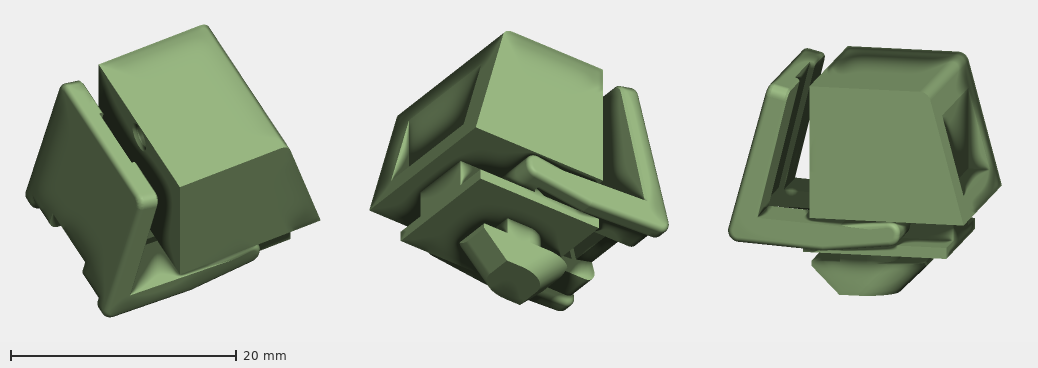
import cadquery as cq
import math


WIDTH = 16.0

BLOCK_HEIGHT = 12.0
BLOCK_FRONT_Y = -4.0
BLOCK_BACK_Y = 10.0
BACK_LEAN = 15.0
BLOCK_EDGE_RADIUS = 1.0

POCKET_WIDTH = 10.9
POCKET_FLOOR_Z = 2.0
POCKET_WALL_Y = 7.5

HOLE_DIAMETER = 2.1
HOLE_CHAMFER = 0.3
HOLE_Z = BLOCK_HEIGHT - 1.55
HOLE_DEPTH = 6.0

PLATE_FRONT_Y = -5.0
PLATE_BACK_Y = 8.0
PLATE_HEIGHT = 3.6
NECK_WIDTH = 6.0
FLANGE_WIDTH = 12.0
FLANGE_THICKNESS = 1.0
TOOTH_RISE = 0.6
TOOTH_RUN = 1.0
TOOTH_END_Y = 2.0

STEM_SIZE = 4.9
STEM_HEIGHT = 1.6
TURN_RADIUS = 2.44
HEAD_LENGTH = 10.0
HEAD_HEIGHT = 3.0
HEAD_RIM = 0.5

HEEL_RADIUS = 1.0
HEEL_Y = -10.48
HEEL_Z = -1.6
OUTER_LEAN = 15.2
INNER_LEAN = 13.8
INNER_FACE_Y = -8.7
CLIP_TOP_Z = 11.57
CLIP_TOP_Y = -6.3
CLIP_CORNER_RADIUS = 1.0
CLIP_FILLET = 0.5
INNER_CHAMFER = 0.2

TAIL_SLOPE = 3.1
BEND_Y = -2.84
TAIL_BOTTOM_RISE = 6.6
KNEE_Y = -1.25
KNEE_Z = -0.63
TAIL_TOP_RISE = 7.5
TAIL_END_Y = 4.13
TAIL_END_Z = -1.22
TAIL_END_LEAN = 8.0
TAIL_END_RADIUS = 1.0

ARM_GAP = 12.4
CORE_WIDTH = ARM_GAP + 2 * 0.8
CORE_FLOOR_Z = -1.8
HOOK_LEAN = 3.0
HOOK_Y = TOOTH_END_Y + 0.1

SLOT_WIDTH = 6.4
SLOT_TOP_Z = 0.35
GROOVE_DEPTH = 0.5


def prism(points, width):
    """Y-Z outline extruded symmetrically about X = 0."""
    return cq.Workplane("YZ").polyline(points).close().extrude(width / 2, both=True)


def nearest(x, y, z):
    """Selector for the shape whose centre is closest to a point."""
    return cq.NearestToPointSelector((x, y, z))


def direction(angle):
    """Unit Y-Z vector at an angle in degrees measured from +Y toward +Z."""
    return math.cos(math.radians(angle)), math.sin(math.radians(angle))


def along(point, angle, distance):
    """Point reached by moving a distance from a point at an angle."""
    dy, dz = direction(angle)
    return point[0] + distance * dy, point[1] + distance * dz


def meet(point_a, angle_a, point_b, angle_b):
    """Crossing of two Y-Z lines, each given by a point and an angle."""
    ay, az = direction(angle_a)
    by, bz = direction(angle_b)
    gap_y = point_b[0] - point_a[0]
    gap_z = point_b[1] - point_a[1]
    distance = (gap_y * bz - gap_z * by) / (ay * bz - az * by)
    return along(point_a, angle_a, distance)


def make_block():
    top_back_y = BLOCK_BACK_Y - BLOCK_HEIGHT * math.tan(math.radians(BACK_LEAN))
    block = prism(
        [
            (BLOCK_FRONT_Y, 0),
            (BLOCK_BACK_Y, 0),
            (top_back_y, BLOCK_HEIGHT),
            (BLOCK_FRONT_Y, BLOCK_HEIGHT),
        ],
        WIDTH,
    )
    block = block.edges(nearest(0, top_back_y, BLOCK_HEIGHT)).fillet(BLOCK_EDGE_RADIUS)

    pocket = cq.Workplane("XY").box(
        POCKET_WIDTH, BLOCK_BACK_Y, BLOCK_HEIGHT, centered=(True, False, False)
    ).translate((0, POCKET_WALL_Y, POCKET_FLOOR_Z))

    mouth_diameter = HOLE_DIAMETER + 2 * HOLE_CHAMFER
    block = block.cut(pocket)
    return (
        block.faces("<Y")
        .workplane(origin=(0, BLOCK_FRONT_Y, HOLE_Z))
        .cskHole(HOLE_DIAMETER, mouth_diameter, 90, HOLE_DEPTH)
    )


def make_plate():
    """Neck over a wider flange; the flange carries a snap tooth across its top."""
    bottom_z = -PLATE_HEIGHT
    flange_z = bottom_z + FLANGE_THICKNESS
    neck = prism(
        [
            (PLATE_FRONT_Y, bottom_z),
            (PLATE_BACK_Y, bottom_z),
            (PLATE_BACK_Y, 0),
            (PLATE_FRONT_Y, 0),
        ],
        NECK_WIDTH,
    )
    flange = prism(
        [
            (PLATE_FRONT_Y, bottom_z),
            (PLATE_BACK_Y, bottom_z),
            (PLATE_BACK_Y, flange_z),
            (TOOTH_END_Y, flange_z),
            (TOOTH_END_Y, flange_z + TOOTH_RISE),
            (TOOTH_END_Y - TOOTH_RUN, flange_z),
            (PLATE_FRONT_Y, flange_z),
        ],
        FLANGE_WIDTH,
    )
    return neck.union(flange)


def make_stem():
    """Square stem with two opposite corners rounded, so the head can turn."""
    middle_z = -PLATE_HEIGHT - STEM_HEIGHT / 2
    stem = cq.Workplane("XY").box(STEM_SIZE, STEM_SIZE, STEM_HEIGHT).translate((0, 0, middle_z))
    for side in (-1, 1):
        corner = nearest(side * STEM_SIZE / 2, side * STEM_SIZE / 2, middle_z)
        stem = stem.edges(corner).fillet(TURN_RADIUS)
    return stem


def make_head():
    """T-head with 45 degree flanks; one flank edge at each end is rounded."""
    half_length = HEAD_LENGTH / 2
    top_z = -PLATE_HEIGHT - STEM_HEIGHT
    bottom_z = top_z - HEAD_HEIGHT
    flank_top = half_length + HEAD_RIM
    flank_bottom = flank_top - HEAD_HEIGHT
    head = prism(
        [
            (-flank_top, top_z),
            (-flank_bottom, bottom_z),
            (flank_bottom, bottom_z),
            (flank_top, top_z),
        ],
        STEM_SIZE,
    )
    middle_y = (flank_top + flank_bottom) / 2
    middle_z = (top_z + bottom_z) / 2
    for side in (-1, 1):
        flank_edge = nearest(side * STEM_SIZE / 2, side * middle_y, middle_z)
        head = head.edges(flank_edge).fillet(TURN_RADIUS)
    rim = cq.Workplane("XY").box(STEM_SIZE, HEAD_LENGTH, HEAD_HEIGHT).translate((0, 0, middle_z))
    return head.intersect(rim)


def make_body():
    return make_block().union(make_plate()).union(make_stem()).union(make_head())


OUTER_ANGLE = 90 - OUTER_LEAN
INNER_ANGLE = 90 - INNER_LEAN
TOP_ANGLE = -INNER_LEAN

HEEL_CENTER = (HEEL_Y, HEEL_Z)
OUTER_POINT = along(HEEL_CENTER, OUTER_ANGLE + 90, HEEL_RADIUS)
BOTTOM_POINT = along(HEEL_CENTER, -TAIL_SLOPE - 90, HEEL_RADIUS)
INNER_POINT = (INNER_FACE_Y, 0)
TOP_POINT = (CLIP_TOP_Y, CLIP_TOP_Z)
KNEE = (KNEE_Y, KNEE_Z)
TAIL_END = (TAIL_END_Y, TAIL_END_Z)
TAIL_END_ANGLE = 90 - TAIL_END_LEAN

HEEL = meet(OUTER_POINT, OUTER_ANGLE, BOTTOM_POINT, -TAIL_SLOPE)
BEND = meet(BOTTOM_POINT, -TAIL_SLOPE, (BEND_Y, 0), 90)
TAIL_BOTTOM = meet(BEND, TAIL_BOTTOM_RISE, TAIL_END, TAIL_END_ANGLE)
TAIL_TOP = meet(KNEE, TAIL_TOP_RISE, TAIL_END, TAIL_END_ANGLE)
INNER_CORNER = meet(KNEE, -TAIL_SLOPE, INNER_POINT, INNER_ANGLE)
INNER_TOP = meet(INNER_POINT, INNER_ANGLE, TOP_POINT, TOP_ANGLE)
OUTER_TOP = meet(OUTER_POINT, OUTER_ANGLE, TOP_POINT, TOP_ANGLE)
OUTER_STOP = meet(OUTER_POINT, OUTER_ANGLE, (0, 0), 0)
CORE_HEEL = meet(OUTER_POINT, OUTER_ANGLE, (0, CORE_FLOOR_Z), 0)
HOOK_BOTTOM = meet(BEND, TAIL_BOTTOM_RISE, (HOOK_Y, 0), 90)
HOOK_TOP = meet(HOOK_BOTTOM, 90 - HOOK_LEAN, (0, CORE_FLOOR_Z), 0)


def midpoint(a, b):
    return (a[0] + b[0]) / 2, (a[1] + b[1]) / 2


def make_clip_blank():
    """Leaning plate and tail over the full width, with rounded outer edges."""
    blank = prism(
        [HEEL, BEND, TAIL_BOTTOM, TAIL_TOP, KNEE, INNER_CORNER, INNER_TOP, OUTER_TOP],
        WIDTH,
    )
    blank = blank.edges(nearest(0, *HEEL)).fillet(HEEL_RADIUS)
    for corner in (TAIL_BOTTOM, TAIL_TOP):
        blank = blank.edges(nearest(0, *corner)).fillet(TAIL_END_RADIUS)
    for side in (-WIDTH / 2, WIDTH / 2):
        top_corner = nearest(side, *midpoint(INNER_TOP, OUTER_TOP))
        blank = blank.edges(top_corner).fillet(CLIP_CORNER_RADIUS)

    rounded_runs = [(HEEL, OUTER_TOP), (BEND, TAIL_BOTTOM), (TAIL_BOTTOM, TAIL_TOP), (TAIL_TOP, KNEE)]
    edges = blank.newObject([])
    for side in (-WIDTH / 2, WIDTH / 2):
        for start, end in rounded_runs:
            edges = edges.add(blank.edges(nearest(side, *midpoint(start, end))))
    blank = edges.fillet(CLIP_FILLET)
    return blank.edges(nearest(0, *INNER_TOP)).chamfer(INNER_CHAMFER)


def make_channel():
    """Space under the core, from the rounded core heel back to the hook."""
    far_front_y = HEEL[0] - 1
    low_z = BEND[1] - 1
    space = prism(
        [
            (far_front_y, low_z),
            (HOOK_BOTTOM[0], low_z),
            HOOK_BOTTOM,
            HOOK_TOP,
            (HOOK_TOP[0], 0),
            (far_front_y, 0),
        ],
        CORE_WIDTH,
    )
    core = prism(
        [CORE_HEEL, HOOK_TOP, (HOOK_TOP[0], 0), OUTER_STOP],
        CORE_WIDTH,
    )
    core = core.edges(nearest(0, *CORE_HEEL)).fillet(HEEL_RADIUS)
    return space.cut(core)


def make_arm_lining(side):
    """Inner part of a side arm, with its lower edge rounded toward the gap."""
    lining_width = (CORE_WIDTH - ARM_GAP) / 2
    lining = prism(
        [HEEL, BEND, HOOK_BOTTOM, HOOK_TOP, KNEE, INNER_CORNER, OUTER_STOP],
        lining_width,
    )
    lining = lining.edges(nearest(0, *HEEL)).fillet(HEEL_RADIUS)
    gap_side = -side * lining_width / 2
    edges = lining.newObject([])
    for place in (HEEL, midpoint(BEND, HOOK_BOTTOM)):
        edges = edges.add(lining.edges(nearest(gap_side, *place)))
    lining = edges.fillet(CLIP_FILLET)
    return lining.translate((side * (ARM_GAP + lining_width) / 2, 0, 0))


def make_slot():
    """Slot that straddles the neck, with a groove up the plate's inner face."""
    low_z = BEND[1] - 1
    outer_top = meet(OUTER_POINT, OUTER_ANGLE, (0, SLOT_TOP_Z), 0)
    groove_point = along(INNER_POINT, TOP_ANGLE + 180, GROOVE_DEPTH)
    groove_bottom = meet(groove_point, INNER_ANGLE, outer_top, TOP_ANGLE)
    groove_top = along(groove_bottom, INNER_ANGLE, CLIP_TOP_Z + HEEL_RADIUS)
    beyond_front = along(outer_top, TOP_ANGLE + 180, HEEL_RADIUS)
    beyond_back_y = TAIL_TOP[0] + 1
    return prism(
        [
            (beyond_front[0], low_z),
            (beyond_back_y, low_z),
            (beyond_back_y, groove_top[1]),
            groove_top,
            groove_bottom,
            beyond_front,
        ],
        SLOT_WIDTH,
    )


def make_clip():
    clip = make_clip_blank().cut(make_channel())
    for side in (-1, 1):
        clip = clip.union(make_arm_lining(side))
    return clip.cut(make_slot())


body = make_body()
clip = make_clip()
result = cq.Compound.makeCompound([body.val(), clip.val()])